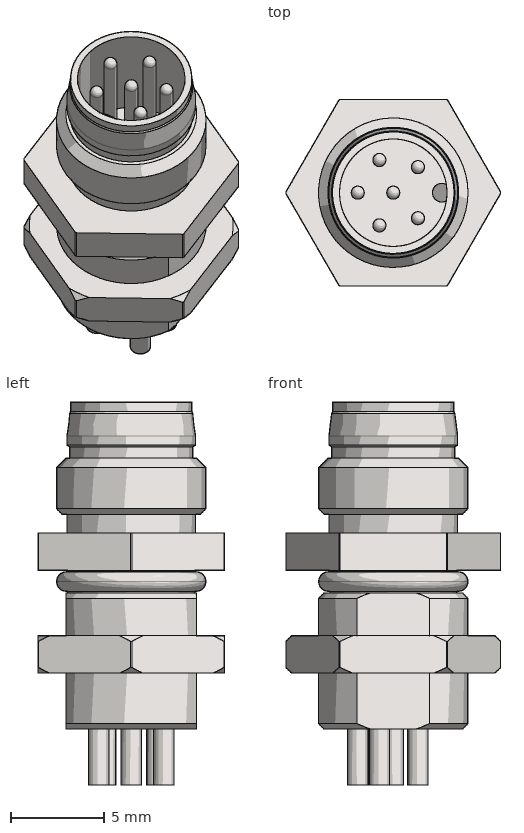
import cadquery as cq
import math

RIM_BAND_BOTTOM = -0.5
RIM_STEP_BOTTOM = -0.6
TAPER_BOTTOM = -1.8
SNAP_BOTTOM = -2.3
SNAP_GROOVE_TOP = -2.4
COLLAR_TOP = -3.0
COLLAR_BOTTOM = -6.0
FLANGE_TOP = -7.0
FLANGE_BOTTOM = -9.0
BARREL_TOP = -10.2
NUT_TOP = -12.5
BARREL_BOTTOM = -17.5
TERMINAL_BOTTOM = -20.5

RIM_DIAMETER = 6.5
SNAP_GROOVE_DIAMETER = 6.6
SNAP_DIAMETER = 6.9
SEAL_NECK_DIAMETER = 6.8
BODY_DIAMETER = 8.0
COLLAR_TOP_CHAMFER = 0.5
EDGE_CHAMFER = 0.3

BARREL_ACROSS_FLATS = 7.0

HEX_SIDES = 6
HEX_ACROSS_FLATS = 10.0
HEX_CORNER_DIAMETER = 11.5
HEX_THICKNESS = FLANGE_TOP - FLANGE_BOTTOM

RING_SECTION_DIAMETER = 1.05
RING_CENTRE_Z = (FLANGE_BOTTOM + BARREL_TOP) / 2

SOCKET_DIAMETER = 5.75
SOCKET_DEPTH = 6.0
KEY_DIAMETER = 1.0
KEY_CENTRE_X = 2.6
KEY_SLOPE_START_DEPTH = 0.2
PIN_DIAMETER = 0.7
PIN_TIP_DEPTH = 0.3
TERMINAL_DIAMETER = 1.1
CONTACT_CIRCLE_RADIUS = 1.9
CONTACT_ANGLES = (46, 113, 180, -113, -46)


def cylinder(diameter, bottom, top):
    """Round bar on the Z axis between two heights."""
    return cq.Workplane("XY").workplane(offset=bottom).circle(diameter / 2).extrude(top - bottom)


def make_plug():
    """Turned upper body, from the rim down to the top of the barrel."""
    rim = RIM_DIAMETER / 2
    groove = SNAP_GROOVE_DIAMETER / 2
    snap = SNAP_DIAMETER / 2
    neck = SEAL_NECK_DIAMETER / 2
    body = BODY_DIAMETER / 2
    outline = [
        (0, 0),
        (rim, 0),
        (rim, RIM_BAND_BOTTOM),
        (groove, RIM_STEP_BOTTOM),
        (snap, TAPER_BOTTOM),
        (snap, SNAP_BOTTOM),
        (groove, SNAP_GROOVE_TOP),
        (groove, COLLAR_TOP),
        (body - COLLAR_TOP_CHAMFER, COLLAR_TOP),
        (body, COLLAR_TOP - COLLAR_TOP_CHAMFER),
        (body, COLLAR_BOTTOM + EDGE_CHAMFER),
        (body - EDGE_CHAMFER, COLLAR_BOTTOM),
        (snap, COLLAR_BOTTOM),
        (snap, FLANGE_TOP),
        (neck, FLANGE_TOP),
        (neck, BARREL_TOP),
        (0, BARREL_TOP),
    ]
    return cq.Workplane("XZ").polyline(outline).close().revolve(360, (0, 0, 0), (0, 1, 0))


def make_barrel():
    """Mounting barrel with chamfered ends and two flats facing -Y and +Y."""
    length = BARREL_TOP - BARREL_BOTTOM
    barrel = cylinder(BODY_DIAMETER, BARREL_BOTTOM, BARREL_TOP).edges("%CIRCLE").chamfer(EDGE_CHAMFER)
    flats = (
        cq.Workplane("XY")
        .workplane(offset=BARREL_BOTTOM)
        .rect(BODY_DIAMETER, BARREL_ACROSS_FLATS)
        .extrude(length)
    )
    return barrel.intersect(flats)


def make_hexagon(top, corner_chamfer=0):
    """Hexagonal plate with corners on X, trimmed by a round blank."""
    bottom = top - HEX_THICKNESS
    hexagon = (
        cq.Workplane("XY")
        .workplane(offset=bottom)
        .polygon(HEX_SIDES, HEX_ACROSS_FLATS / math.cos(math.pi / HEX_SIDES))
        .extrude(HEX_THICKNESS)
    )
    blank = cylinder(HEX_CORNER_DIAMETER, bottom, top)
    if corner_chamfer:
        blank = blank.edges("%CIRCLE").chamfer(corner_chamfer)
    return hexagon.intersect(blank)


def make_nut():
    """Hexagonal nut with a round bore that clears the flats of the barrel."""
    bore = cylinder(BODY_DIAMETER, NUT_TOP - HEX_THICKNESS, NUT_TOP)
    return make_hexagon(NUT_TOP, EDGE_CHAMFER).cut(bore)


def make_sealing_ring():
    """O-ring seated on the neck below the flange."""
    centre_radius = (BODY_DIAMETER - RING_SECTION_DIAMETER) / 2
    return (
        cq.Workplane("XZ")
        .center(centre_radius, RING_CENTRE_Z)
        .circle(RING_SECTION_DIAMETER / 2)
        .revolve(360, (-centre_radius, 0, 0), (-centre_radius, 1, 0))
    )


def make_key():
    """Round coding key on the +X wall of the socket, its top sloping down at 45 degrees inwards."""
    socket_radius = SOCKET_DIAMETER / 2
    inner_x = KEY_CENTRE_X - KEY_DIAMETER / 2
    slope_drop = socket_radius - inner_x
    post = cylinder(KEY_DIAMETER, -SOCKET_DEPTH, 0).translate((KEY_CENTRE_X, 0, 0))
    side_outline = [
        (inner_x, -SOCKET_DEPTH),
        (socket_radius, -SOCKET_DEPTH),
        (socket_radius, -KEY_SLOPE_START_DEPTH),
        (inner_x, -KEY_SLOPE_START_DEPTH - slope_drop),
    ]
    envelope = cq.Workplane("XZ").polyline(side_outline).close().extrude(KEY_DIAMETER / 2, both=True)
    return post.intersect(envelope)


def make_contact(x, y):
    """Pin with a domed tip inside the socket and a thicker terminal below the barrel."""
    pin_radius = PIN_DIAMETER / 2
    dome_centre_z = -PIN_TIP_DEPTH - pin_radius
    pin = cylinder(PIN_DIAMETER, -SOCKET_DEPTH, dome_centre_z)
    dome = cq.Workplane("XY").sphere(pin_radius).translate((0, 0, dome_centre_z))
    terminal = cylinder(TERMINAL_DIAMETER, TERMINAL_BOTTOM, BARREL_BOTTOM)
    return pin.union(dome).union(terminal).translate((x, y, 0))


def contact_positions():
    """One contact at the centre and five on a circle, with a gap at the key."""
    positions = [(0, 0)]
    for angle in CONTACT_ANGLES:
        radians = math.radians(angle)
        x = CONTACT_CIRCLE_RADIUS * math.cos(radians)
        y = CONTACT_CIRCLE_RADIUS * math.sin(radians)
        positions.append((x, y))
    return positions


result = make_plug().cut(cylinder(SOCKET_DIAMETER, -SOCKET_DEPTH, 0))
result = result.union(make_barrel())
result = result.union(make_hexagon(FLANGE_TOP))
result = result.union(make_nut())
result = result.union(make_sealing_ring())
result = result.union(make_key())
for contact_x, contact_y in contact_positions():
    result = result.union(make_contact(contact_x, contact_y))